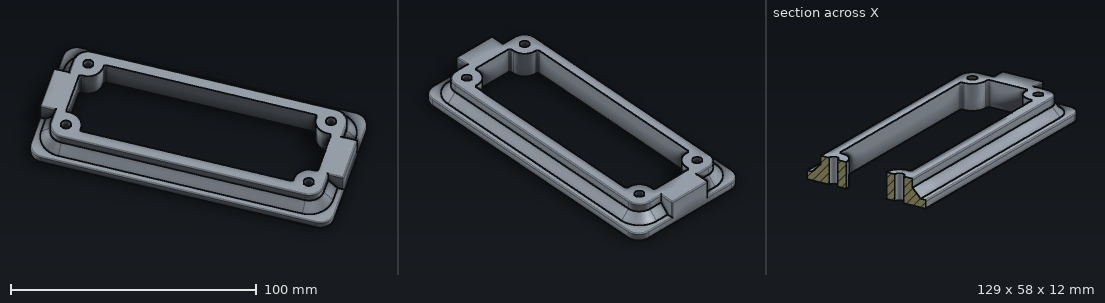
import cadquery as cq
import math

length = 129.0
width = 58.0
height = 12.0
flange_thickness = 4.0
flange_corner_radius = 6.0
edge_radius = 0.49

rim_length = 116.0
rim_width = 45.0
rim_corner_radius = 6.2
skirt_height = 4.0
skirt_angle = 45
skirt_run = skirt_height * math.tan(math.radians(skirt_angle))
skirt_top = flange_thickness + skirt_height

tab_width = 20.0

window_length = 107.0
window_width = 35.0
window_corner_radius = 0.9
boss_radius = 6.3

hole_diameter = 4.1
hole_spacing_x = 103.1
hole_spacing_y = 32.1


def rounded_block(size_x, size_y, corner_radius, bottom, top):
    block = cq.Workplane("XY", origin=(0, 0, bottom)).rect(size_x, size_y).extrude(top - bottom)
    return block.edges("|Z").fillet(corner_radius)


def make_flange():
    flange = rounded_block(length, width, flange_corner_radius, 0, flange_thickness)
    return flange.faces("<Z or >Z").edges().fillet(edge_radius)


def make_rim():
    foot = cq.Sketch().rect(rim_length + 2 * skirt_run, rim_width + 2 * skirt_run)
    foot = foot.vertices().fillet(rim_corner_radius + skirt_run)
    skirt = (
        cq.Workplane("XY", origin=(0, 0, flange_thickness))
        .placeSketch(foot)
        .extrude(skirt_height, taper=skirt_angle)
    )
    wall = rounded_block(rim_length, rim_width, rim_corner_radius, skirt_top, height)
    return skirt.union(wall.faces(">Z").edges().fillet(edge_radius))


def make_tabs():
    """Bar along X whose two ends stand flush with the short sides of the flange."""
    bar_bottom = edge_radius
    bar = (
        cq.Workplane("XY", origin=(0, 0, bar_bottom))
        .rect(length, tab_width)
        .extrude(height - bar_bottom)
    )
    return bar.edges("|Z or >Z").fillet(edge_radius)


def make_corner_boss(side_x, side_y):
    """Block filling one window corner, rounded about the screw hole on its inner corner."""
    inner_x = hole_spacing_x / 2 - boss_radius
    inner_y = hole_spacing_y / 2 - boss_radius
    size_x = length / 2 - inner_x
    size_y = width / 2 - inner_y
    boss = (
        cq.Workplane("XY")
        .center(side_x * (inner_x + size_x / 2), side_y * (inner_y + size_y / 2))
        .rect(size_x, size_y)
        .extrude(height)
    )
    inner_edge = cq.selectors.NearestToPointSelector((side_x * inner_x, side_y * inner_y, height / 2))
    return boss.edges(inner_edge).fillet(boss_radius)


def make_window():
    window = cq.Workplane("XY").rect(window_length, window_width).extrude(height)
    for side_x in (-1, 1):
        for side_y in (-1, 1):
            window = window.cut(make_corner_boss(side_x, side_y))
    return window.edges("|Z and (<X or >X or <Y or >Y)").fillet(window_corner_radius)


def make_holes():
    return (
        cq.Workplane("XY")
        .rect(hole_spacing_x, hole_spacing_y, forConstruction=True)
        .vertices()
        .circle(hole_diameter / 2)
        .extrude(height)
    )


result = make_flange().union(make_rim()).union(make_tabs()).cut(make_window()).cut(make_holes())